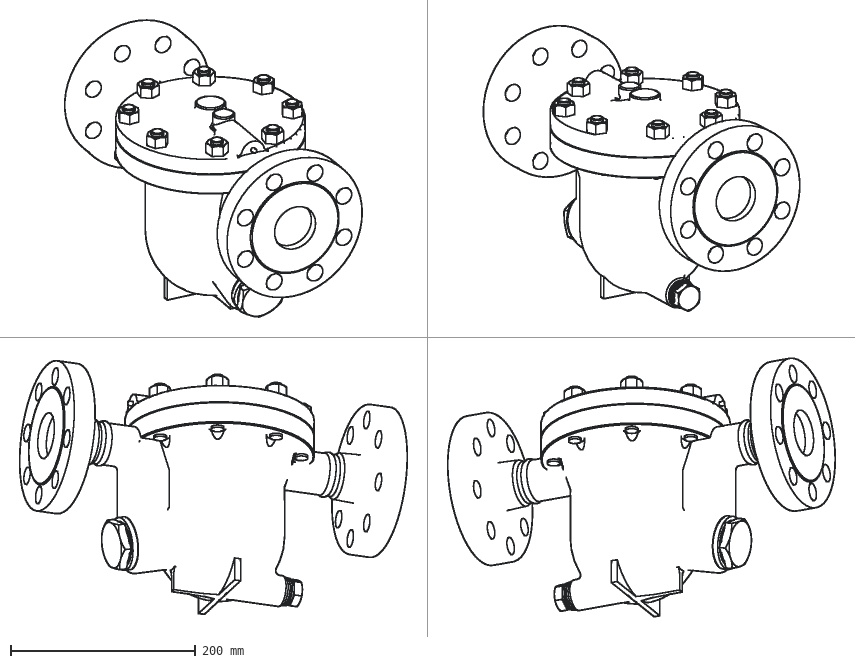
import cadquery as cq
import math

INLET_FACE_X = -188.0
OUTLET_FACE_X = 202.0
PIPE_R = 46.0 / 2

FLANGE_R = 165.0 / 2
FLANGE_DEPTH = 26.0
FLANGE_EDGE_FILLET = 2.0
RAISED_FACE_R = 105.0 / 2
RAISED_FACE_FOOT_R = 108.0 / 2
RAISED_FACE_HEIGHT = 1.0
FLANGE_HOLE_D = 19.0
FLANGE_HOLE_CIRCLE_R = 130.0 / 2
BOLT_COUNT = 8
HALF_PITCH = 180.0 / BOLT_COUNT
BORE_R = 50.0 / 2
BORE_DEPTH = 10.0

NECK_FILLET = 2.5
NECK_R = 53.0 / 2
NECK_END_R = 51.0 / 2
NECK_END = 52.0
NECK_TAPER_END = 56.0
BEAD_START = 61.0
BEAD_END = 68.0
BEAD_R = 49.5 / 2

BODY_R = 71.0
BODY_BOTTOM_Z = -160.0
DOME_Z = BODY_BOTTOM_Z + BODY_R
CONE_BOTTOM_Z = -30.0
CONE_TOP_Z = 0.0
CONE_TOP_R = 80.5
RIM_R = 206.0 / 2
RIM_BOTTOM_Z = 3.5
RIM_BOTTOM_FILLET = 1.2
GASKET_Z = 27.0
GASKET_THICKNESS = 0.8
GASKET_R = RIM_R - 0.5
COVER_TOP_Z = 47.5
COVER_EDGE_FILLET = 2.0
HUMP_FOOT_R = 93.0 / 2
HUMP_TOP_Z = 53.5
TOP_BOSS_FOOT_R = 46.0 / 2
TOP_BOSS_R = 33.0 / 2
TOP_BOSS_TOP_R = 30.0 / 2
TOP_BOSS_Z = 65.5
TOP_BOSS_CHAMFER = 1.5

COVER_BOLT_CIRCLE_R = 178.0 / 2
STUD_D = 14.0
STUD_CHAMFER = 1.0
STUD_BOTTOM_Z = 1.0
STUD_TOP_Z = 63.0
NUT_FLATS = 21.0
NUT_HEIGHT = 12.0
NUT_TURN = 30.0
NUT_CHAMFER_HEIGHT = 0.9
SPOT_FACE_D = 21.0

RIDGE_R = 14.0
RIDGE_FOOT_FILLET = 5.0
RIDGE_END_X = 101.5
SIDE_BOSS_X = 31.5
SIDE_BOSS_D = 24.0
SIDE_BOSS_CHAMFER = 1.5
SIDE_BOSS_FLARE_R = 3.5
SIDE_BOSS_FLARE_Z = 51.2
PIN_D = 5.0
PIN_Z = 51.3
PIN_END_X = 106.5

WEB_END_X = 114.5
WEB_CORNER_R = 13.0
WEB_FLAT_END_X = WEB_END_X - WEB_CORNER_R
WEB_BOTTOM_Z = -95.0

PLUG_FACE_X = 125.8
PLUG_FACE_Z = -117.0
PLUG_SLOPE = 15.0
INSPECTION_BOSS_R = 34.0
INSPECTION_BOSS_LENGTH = 75.0
INSPECTION_EDGE_FILLET = 6.0
INSPECTION_FACE = -18.5
INSPECTION_COLLAR_R = 58.0 / 2
INSPECTION_COLLAR_END = -12.0
INSPECTION_NECK_R = 49.5 / 2
INSPECTION_HEX_FLATS = 50.0
INSPECTION_HEX_HEIGHT = 10.0
INSPECTION_HEX_CHAMFER = 2.0

DRAIN_R = 34.0 / 2
DRAIN_Z = BODY_BOTTOM_Z + DRAIN_R
DRAIN_FACE_X = -74.0
DRAIN_EDGE_LENGTH = 3.0
DRAIN_EDGE_R = 15.5
DRAIN_COLLAR_END_X = -76.5
DRAIN_WASHER_R = 30.0 / 2
DRAIN_WASHER_END_X = -79.0
DRAIN_NECK_R = 13.0
DRAIN_HEX_START_X = -82.0
DRAIN_HEX_FLATS = 27.0
DRAIN_HEX_HEIGHT = 9.5
DRAIN_HEX_CHAMFER = 0.8

FOOT_THICKNESS = 7.0
FOOT_REACH = 54.5
FOOT_TOP_Z = -133.0

DRAIN_BLEND_R = 5.0
INSPECTION_BLEND_R = 6.0
WEB_BLEND_R = 4.0
FOOT_BLEND_R = 6.0
OUTLET_BLEND_R = 5.0
INLET_BLEND_R = 3.0
MARGIN = 0.5


def spin_about_x(profile):
    """Turn an (axial X, radius) outline about the X axis."""
    return profile.close().revolve(360, (0, 0, 0), (1, 0, 0))


def spin_about_z(profile):
    """Turn a (radius, Z) outline about the Z axis."""
    return profile.close().revolve(360, (0, 0, 0), (0, 1, 0))


def chamfered_hex(flats, height, chamfer):
    """A hexagon prism on Z = 0, its upper corners cut by a cone that starts at the flats."""
    corner_r = flats / math.sqrt(3)
    prism = cq.Workplane("XY").polygon(6, 2 * corner_r).extrude(height)
    cone = spin_about_z(
        cq.Workplane("XZ")
        .moveTo(0, 0)
        .lineTo(corner_r + chamfer, 0)
        .lineTo(corner_r + chamfer, height - 2 * chamfer)
        .lineTo(flats / 2, height)
        .lineTo(0, height)
    )
    return prism.intersect(cone)


def pipe_end():
    """Flange, weld neck and pipe with the end face at X = 0, running along +X to the body axis."""
    back = FLANGE_DEPTH
    fillet_mid = NECK_FILLET * (1 - math.sqrt(0.5))
    bead_mid = (BEAD_START + BEAD_END) / 2
    pipe_length = -INLET_FACE_X
    solid = spin_about_x(
        cq.Workplane("XY")
        .moveTo(0, 0)
        .lineTo(0, RAISED_FACE_R)
        .lineTo(RAISED_FACE_HEIGHT, RAISED_FACE_FOOT_R)
        .lineTo(RAISED_FACE_HEIGHT, FLANGE_R)
        .lineTo(back - FLANGE_EDGE_FILLET, FLANGE_R)
        .radiusArc((back, FLANGE_R - FLANGE_EDGE_FILLET), FLANGE_EDGE_FILLET)
        .lineTo(back, NECK_R + NECK_FILLET)
        .threePointArc((back + fillet_mid, NECK_R + fillet_mid), (back + NECK_FILLET, NECK_R))
        .lineTo(NECK_END, NECK_END_R)
        .lineTo(NECK_TAPER_END, PIPE_R)
        .lineTo(BEAD_START, PIPE_R)
        .threePointArc((bead_mid, BEAD_R), (BEAD_END, PIPE_R))
        .lineTo(pipe_length, PIPE_R)
        .lineTo(pipe_length, 0)
    )
    holes = (
        cq.Workplane("YZ")
        .polarArray(FLANGE_HOLE_CIRCLE_R, HALF_PITCH, 360, BOLT_COUNT)
        .circle(FLANGE_HOLE_D / 2)
        .extrude(FLANGE_DEPTH)
    )
    bore = cq.Workplane("YZ").circle(BORE_R).extrude(BORE_DEPTH)
    return solid.cut(holes).cut(bore)


def body_and_cover():
    """Domed body, flared neck, body rim, gasket line and the cover with its central boss."""
    dome_side = BODY_R * math.sqrt(0.5)
    gasket_top_z = GASKET_Z + GASKET_THICKNESS
    edge_mid = COVER_EDGE_FILLET * (1 - math.sqrt(0.5))
    boss_fillet = TOP_BOSS_FOOT_R - TOP_BOSS_R
    boss_fillet_mid = boss_fillet * (1 - math.sqrt(0.5))
    return spin_about_z(
        cq.Workplane("XZ")
        .moveTo(0, BODY_BOTTOM_Z)
        .threePointArc((dome_side, DOME_Z - dome_side), (BODY_R, DOME_Z))
        .lineTo(BODY_R, CONE_BOTTOM_Z)
        .lineTo(CONE_TOP_R, CONE_TOP_Z)
        .radiusArc((CONE_TOP_R + RIM_BOTTOM_Z, RIM_BOTTOM_Z), RIM_BOTTOM_Z)
        .lineTo(RIM_R - RIM_BOTTOM_FILLET, RIM_BOTTOM_Z)
        .lineTo(RIM_R, RIM_BOTTOM_Z + RIM_BOTTOM_FILLET)
        .lineTo(RIM_R, GASKET_Z)
        .lineTo(GASKET_R, GASKET_Z)
        .lineTo(GASKET_R, gasket_top_z)
        .lineTo(RIM_R, gasket_top_z)
        .lineTo(RIM_R, COVER_TOP_Z - COVER_EDGE_FILLET)
        .threePointArc(
            (RIM_R - edge_mid, COVER_TOP_Z - edge_mid),
            (RIM_R - COVER_EDGE_FILLET, COVER_TOP_Z),
        )
        .lineTo(HUMP_FOOT_R, COVER_TOP_Z)
        .lineTo(TOP_BOSS_FOOT_R, HUMP_TOP_Z)
        .threePointArc(
            (TOP_BOSS_R + boss_fillet_mid, HUMP_TOP_Z + boss_fillet_mid),
            (TOP_BOSS_R, HUMP_TOP_Z + boss_fillet),
        )
        .lineTo(TOP_BOSS_R, TOP_BOSS_Z - TOP_BOSS_CHAMFER)
        .lineTo(TOP_BOSS_TOP_R, TOP_BOSS_Z)
        .lineTo(0, TOP_BOSS_Z)
    )


def spot_faces():
    """Clearance cuts under the body rim around each stud."""
    return (
        cq.Workplane("XY")
        .workplane(offset=RIM_BOTTOM_Z)
        .polarArray(COVER_BOLT_CIRCLE_R, HALF_PITCH, 360, BOLT_COUNT)
        .circle(SPOT_FACE_D / 2)
        .extrude(CONE_BOTTOM_Z - RIM_BOTTOM_Z)
    )


def cover_bolts():
    """Studs through the rim with a nut on the cover, one every bolt pitch."""
    stud = (
        cq.Workplane("XY")
        .workplane(offset=STUD_BOTTOM_Z)
        .circle(STUD_D / 2)
        .extrude(STUD_TOP_Z - STUD_BOTTOM_Z)
        .faces(">Z")
        .chamfer(STUD_CHAMFER)
    )
    nut = (
        chamfered_hex(NUT_FLATS, NUT_HEIGHT, NUT_CHAMFER_HEIGHT)
        .rotate((0, 0, 0), (0, 0, 1), NUT_TURN)
        .translate((0, 0, COVER_TOP_Z))
    )
    bolt = stud.union(nut).translate((COVER_BOLT_CIRCLE_R, 0, 0))
    pitch = 2 * HALF_PITCH
    return [
        bolt.rotate((0, 0, 0), (0, 0, 1), HALF_PITCH + pitch * index)
        for index in range(BOLT_COUNT)
    ]


def ridge():
    """Half-round ridge on the cover with hollow fillets along its foot, its boss and its pin."""
    foot_y = math.sqrt((RIDGE_R + RIDGE_FOOT_FILLET) ** 2 - RIDGE_FOOT_FILLET**2)
    shrink = RIDGE_R / (RIDGE_R + RIDGE_FOOT_FILLET)
    tangent_y = foot_y * shrink
    tangent_z = COVER_TOP_Z + RIDGE_FOOT_FILLET * shrink
    root_z = COVER_TOP_Z - COVER_EDGE_FILLET
    bar = (
        cq.Workplane("YZ")
        .workplane(offset=SIDE_BOSS_X)
        .moveTo(-foot_y, root_z)
        .lineTo(-foot_y, COVER_TOP_Z)
        .radiusArc((-tangent_y, tangent_z), -RIDGE_FOOT_FILLET)
        .threePointArc((0, COVER_TOP_Z + RIDGE_R), (tangent_y, tangent_z))
        .radiusArc((foot_y, COVER_TOP_Z), -RIDGE_FOOT_FILLET)
        .lineTo(foot_y, root_z)
        .close()
        .extrude(RIDGE_END_X - SIDE_BOSS_X)
    )
    boss_r = SIDE_BOSS_D / 2
    flare_mid = SIDE_BOSS_FLARE_R * (1 - math.sqrt(0.5))
    flare_r = boss_r + SIDE_BOSS_FLARE_R
    boss = spin_about_z(
        cq.Workplane("XZ")
        .moveTo(0, root_z)
        .lineTo(flare_r, root_z)
        .lineTo(flare_r, SIDE_BOSS_FLARE_Z)
        .threePointArc(
            (boss_r + flare_mid, SIDE_BOSS_FLARE_Z + flare_mid),
            (boss_r, SIDE_BOSS_FLARE_Z + SIDE_BOSS_FLARE_R),
        )
        .lineTo(boss_r, TOP_BOSS_Z - SIDE_BOSS_CHAMFER)
        .lineTo(boss_r - SIDE_BOSS_CHAMFER, TOP_BOSS_Z)
        .lineTo(0, TOP_BOSS_Z)
    ).translate((SIDE_BOSS_X, 0, 0))
    pin_length = PIN_END_X - SIDE_BOSS_X
    pin = (
        cq.Workplane("YZ")
        .workplane(offset=SIDE_BOSS_X)
        .center(0, PIN_Z)
        .circle(PIN_D / 2)
        .extrude(pin_length)
        .faces(">X")
        .fillet(PIN_D / 4)
    )
    return bar.union(boss).union(pin)


def outlet_web():
    """Round-cornered web, as wide as the pipe, from the pipe axis down to the inspection boss."""
    return (
        cq.Workplane("XY")
        .workplane(offset=WEB_BOTTOM_Z)
        .center(WEB_END_X / 2, 0)
        .rect(WEB_END_X, 2 * PIPE_R)
        .extrude(-WEB_BOTTOM_Z)
        .edges("|Z and >X")
        .fillet(WEB_CORNER_R)
    )


def inspection_port():
    """Sloping boss with collar, neck and hexagon plug, the plug face at the local origin."""
    fillet_mid = INSPECTION_EDGE_FILLET * (1 - math.sqrt(0.5))
    hex_start = -INSPECTION_HEX_HEIGHT
    turned = spin_about_x(
        cq.Workplane("XY")
        .moveTo(INSPECTION_FACE - INSPECTION_BOSS_LENGTH, 0)
        .lineTo(INSPECTION_FACE - INSPECTION_BOSS_LENGTH, INSPECTION_BOSS_R)
        .lineTo(INSPECTION_FACE - INSPECTION_EDGE_FILLET, INSPECTION_BOSS_R)
        .threePointArc(
            (INSPECTION_FACE - fillet_mid, INSPECTION_BOSS_R - fillet_mid),
            (INSPECTION_FACE, INSPECTION_BOSS_R - INSPECTION_EDGE_FILLET),
        )
        .lineTo(INSPECTION_FACE, INSPECTION_COLLAR_R)
        .lineTo(INSPECTION_COLLAR_END, INSPECTION_COLLAR_R)
        .lineTo(INSPECTION_COLLAR_END, INSPECTION_NECK_R)
        .lineTo(hex_start, INSPECTION_NECK_R)
        .lineTo(hex_start, 0)
    )
    plug = (
        chamfered_hex(INSPECTION_HEX_FLATS, INSPECTION_HEX_HEIGHT, INSPECTION_HEX_CHAMFER)
        .rotate((0, 0, 0), (0, 1, 0), 90)
        .translate((hex_start, 0, 0))
    )
    return (
        turned.union(plug)
        .rotate((0, 0, 0), (0, 1, 0), PLUG_SLOPE)
        .translate((PLUG_FACE_X, 0, PLUG_FACE_Z))
    )


def drain_port():
    """Horizontal boss at the bottom with washer, neck and hexagon plug."""
    turned = spin_about_x(
        cq.Workplane("XY")
        .moveTo(0, 0)
        .lineTo(0, DRAIN_R)
        .lineTo(DRAIN_FACE_X + DRAIN_EDGE_LENGTH, DRAIN_R)
        .lineTo(DRAIN_FACE_X, DRAIN_EDGE_R)
        .lineTo(DRAIN_COLLAR_END_X, DRAIN_EDGE_R)
        .lineTo(DRAIN_COLLAR_END_X, DRAIN_WASHER_R)
        .lineTo(DRAIN_WASHER_END_X, DRAIN_WASHER_R)
        .lineTo(DRAIN_WASHER_END_X, DRAIN_NECK_R)
        .lineTo(DRAIN_HEX_START_X, DRAIN_NECK_R)
        .lineTo(DRAIN_HEX_START_X, 0)
    )
    plug = (
        chamfered_hex(DRAIN_HEX_FLATS, DRAIN_HEX_HEIGHT, DRAIN_HEX_CHAMFER)
        .rotate((0, 0, 0), (0, 1, 0), -90)
        .translate((DRAIN_HEX_START_X, 0, 0))
    )
    return turned.union(plug).translate((0, 0, DRAIN_Z))


def foot_rib(length, width, center_x):
    """Rib under the dome, measured along X and Y, standing on the bottom plane."""
    return (
        cq.Workplane("XY")
        .workplane(offset=BODY_BOTTOM_Z)
        .center(center_x, 0)
        .rect(length, width)
        .extrude(FOOT_TOP_Z - BODY_BOTTOM_Z)
    )


def fillet_in_box(solid, kind, low, high, radius):
    """Fillet the edges lying wholly between two corner points, of one curve kind or (None) of any."""
    box = cq.selectors.BoxSelector(low, high, boundingbox=True)
    return solid.edges(kind).edges(box).fillet(radius)


def add_drain(solid):
    """Join the drain boss and blend it into the dome."""
    joint_low = (DRAIN_FACE_X + DRAIN_EDGE_LENGTH + MARGIN, -DRAIN_R - MARGIN, BODY_BOTTOM_Z - MARGIN)
    joint_high = (0, DRAIN_R + MARGIN, DRAIN_Z + DRAIN_R + MARGIN)
    return fillet_in_box(solid.union(drain_port()), "%BSPLINE", joint_low, joint_high, DRAIN_BLEND_R)


def outlet_web_and_boss():
    """Web and inspection boss with the boss blended into the flat sides of the web."""
    joint_low = (BODY_R / 2, -PIPE_R - MARGIN, DOME_Z)
    joint_high = (WEB_FLAT_END_X + MARGIN, PIPE_R + MARGIN, CONE_BOTTOM_Z - PIPE_R)
    solid = outlet_web().union(inspection_port())
    return fillet_in_box(solid, "%LINE", joint_low, joint_high, WEB_BLEND_R)


def add_outlet_side(solid):
    """Join the web, the inspection boss and the outlet pipe, and blend their joints."""
    boss_joint_low = (BODY_R / 2, -INSPECTION_BOSS_R - MARGIN, BODY_BOTTOM_Z)
    boss_joint_high = (BODY_R + MARGIN, INSPECTION_BOSS_R + MARGIN, CONE_BOTTOM_Z - MARGIN)
    solid = solid.union(inspection_port())
    solid = fillet_in_box(solid, "%BSPLINE", boss_joint_low, boss_joint_high, INSPECTION_BLEND_R)
    solid = solid.union(outlet_web_and_boss())

    outlet = pipe_end().mirror("YZ").translate((OUTLET_FACE_X, 0, 0))
    pipe_joint_low = (WEB_FLAT_END_X - MARGIN, -PIPE_R - MARGIN, -PIPE_R - MARGIN)
    pipe_joint_high = (WEB_END_X + MARGIN, PIPE_R + MARGIN, CONE_TOP_Z + MARGIN)
    return fillet_in_box(solid.union(outlet), "%BSPLINE", pipe_joint_low, pipe_joint_high, OUTLET_BLEND_R)


def add_inlet_side(solid):
    """Join the inlet pipe and blend it into the flared neck and the underside of the rim."""
    inlet = pipe_end().translate((INLET_FACE_X, 0, 0))
    joint_low = (-RIM_R, -PIPE_R - MARGIN, -PIPE_R - MARGIN)
    joint_high = (-BODY_R, PIPE_R + MARGIN, RIM_BOTTOM_Z + MARGIN)
    return fillet_in_box(solid.union(inlet), None, joint_low, joint_high, INLET_BLEND_R)


def cross_foot():
    """Rib along Y under the dome."""
    return foot_rib(FOOT_THICKNESS, 2 * FOOT_REACH, 0)


def add_long_foot(solid):
    """Join the rib along +X, blended beforehand into a ball that matches the dome."""
    rib = foot_rib(FOOT_REACH, FOOT_THICKNESS, FOOT_REACH / 2)
    ball = cq.Workplane("XY").sphere(BODY_R).translate((0, 0, DOME_Z))
    footed_ball = ball.union(cross_foot()).union(rib)
    side_y = FOOT_THICKNESS / 2 + MARGIN
    joint_low = (0, -side_y, BODY_BOTTOM_Z - MARGIN)
    joint_high = (FOOT_REACH + MARGIN, side_y, FOOT_TOP_Z)
    return solid.union(fillet_in_box(footed_ball, "%CIRCLE", joint_low, joint_high, FOOT_BLEND_R))


result = add_drain(body_and_cover().union(cross_foot()))
result = add_outlet_side(result)
result = add_inlet_side(result)
result = result.cut(spot_faces())
result = add_long_foot(result).union(ridge())
for bolt in cover_bolts():
    result = result.union(bolt)